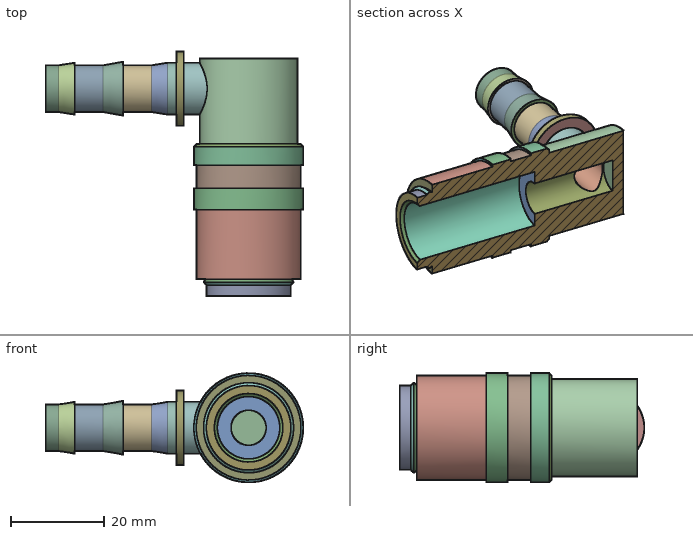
import cadquery as cq


overall_length_x = 55.25
overall_length_y = 52.5
collar_radius = 11.74
flange_radius = 8.0

body_back = -6.5
body_radius = 10.5
sleeve_radius = 11.2
collar_width = 4.6
collar_chamfer = 0.6
rear_collar_start = 11.8
front_collar_start = 21.3
sleeve_end = 40.85
nose_end = overall_length_y - flange_radius
nose_radius = 9.05
bead_radius = 9.65
bead_root_radius = 9.3
bead_crest = 41.45
bead_end = 42.1

socket_radius = 6.7
socket_mouth_radius = 7.35
socket_chamfer = socket_mouth_radius - socket_radius
socket_bottom = 15.45
channel_radius = 3.75
channel_back = -channel_radius

stem_tip = overall_length_x - collar_radius
tube_radius = 5.05
land_radius = 5.6
stem_bore_radius = 3.5
flange_start = 13.85
flange_end = 15.45
barbs = [
    (17.4, 20.85, land_radius),
    (26.9, 31.2, 5.8),
    (37.3, 40.8, land_radius),
]


def revolve_about_y(profile):
    """Revolve (distance forward, radius) points around the body axis."""
    points = [(radius, -distance) for distance, radius in profile]
    return cq.Workplane("XY").polyline(points).close().revolve(360, (0, 0), (0, 1))


def revolve_about_x(profile):
    """Revolve (distance outward, radius) points around the stem axis."""
    points = [(-distance, radius) for distance, radius in profile]
    return cq.Workplane("XY").polyline(points).close().revolve(360, (0, 0), (1, 0))


def make_body():
    rear_collar_end = rear_collar_start + collar_width
    front_collar_end = front_collar_start + collar_width
    return revolve_about_y([
        (body_back, 0),
        (body_back, body_radius),
        (rear_collar_start, body_radius),
        (rear_collar_start, collar_radius - collar_chamfer),
        (rear_collar_start + collar_chamfer, collar_radius),
        (rear_collar_end, collar_radius),
        (rear_collar_end, sleeve_radius),
        (front_collar_start, sleeve_radius),
        (front_collar_start, collar_radius),
        (front_collar_end, collar_radius),
        (front_collar_end, sleeve_radius),
        (sleeve_end, sleeve_radius),
        (sleeve_end, bead_root_radius),
        (bead_crest, bead_radius),
        (bead_end, nose_radius),
        (nose_end, nose_radius),
        (nose_end, 0),
    ])


def make_stem():
    profile = [
        (0, 0),
        (0, land_radius),
        (flange_start, land_radius),
        (flange_start, flange_radius),
        (flange_end, flange_radius),
        (flange_end, land_radius),
    ]
    radius_before = land_radius
    for shoulder, thin_end, shoulder_radius in barbs:
        if shoulder_radius != radius_before:
            profile.append((shoulder, radius_before))
        profile.append((shoulder, shoulder_radius))
        profile.append((thin_end, tube_radius))
        radius_before = tube_radius
    profile += [(stem_tip, tube_radius), (stem_tip, 0)]
    return revolve_about_x(profile)


def make_body_bore():
    """Chamfered socket at the nose, stepping down to a channel past the stem."""
    return revolve_about_y([
        (channel_back, 0),
        (channel_back, channel_radius),
        (socket_bottom, channel_radius),
        (socket_bottom, socket_radius),
        (nose_end - socket_chamfer, socket_radius),
        (nose_end, socket_mouth_radius),
        (nose_end, 0),
    ])


def make_stem_bore():
    """Straight bore from the stem tip into the channel."""
    return revolve_about_x([
        (0, 0),
        (0, stem_bore_radius),
        (stem_tip, stem_bore_radius),
        (stem_tip, 0),
    ])


result = make_body().union(make_stem()).cut(make_body_bore()).cut(make_stem_bore())